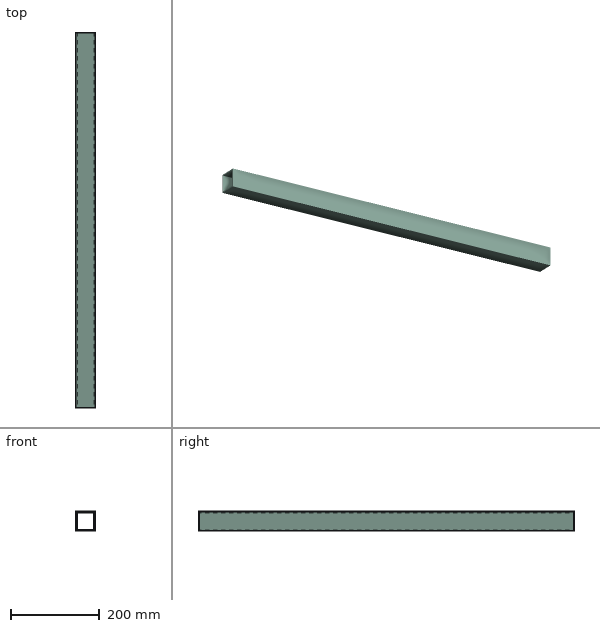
import cadquery as cq

length = 848.0
outer_side = 44.0
wall = 3.0
inner_side = outer_side - 2 * wall

result = (
    cq.Workplane("XZ")
    .rect(outer_side, outer_side)
    .rect(inner_side, inner_side)
    .extrude(length / 2, both=True)
)